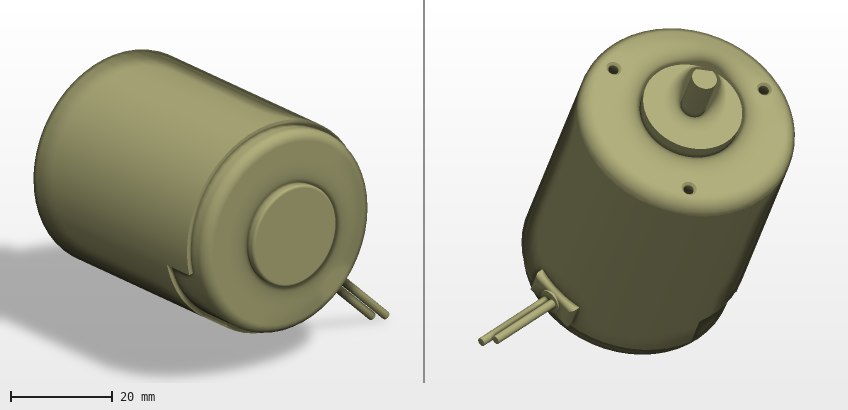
import cadquery as cq
import math


length = 69.6
pilot_front = 10.0
can_front = 13.0
band_front = 56.0
can_rear = 63.0
cap_rear = 67.5

can_radius = 22.0
can_round = 3.0
cap_radius = 21.0
cap_round = 2.0
pilot_radius = 10.0
rear_boss_radius = 10.5
rear_boss_round = 0.55

shaft_radius = 2.5
shaft_flat_height = 1.95

hole_circle_radius = 17.55
hole_radius = 1.05
hole_mouth_radius = 1.5
hole_depth = 3.55
hole_angles = (30, 150, 270)

opening_start_angle = 13.0
opening_end_angle = 56.0

outlet_angle = 43.0
outlet_x = 59.15
grommet_length = 5.6
grommet_width = 10.9
grommet_top = 23.3
grommet_round = 0.85
collar_radius = 2.45
collar_top = 23.65
buried_start = 18.1
wire_radius = 0.87
wire_x_offset = 0.52
wire_side_offset = 0.85
long_wire_end = 41.5
short_wire_end = 39.4


def axial_cylinder(radius, start, end):
    """Cylinder on the shaft axis between two X stations."""
    return cq.Workplane("YZ", origin=(start, 0, 0)).circle(radius).extrude(end - start)


def make_shaft():
    """Round shaft, cut flat along its exposed length."""
    shaft = axial_cylinder(shaft_radius, 0, pilot_front)
    flat = cq.Workplane("XY", origin=(0, 0, shaft_flat_height)).rect(
        2 * pilot_front, 2 * shaft_radius
    ).extrude(shaft_radius)
    return shaft.cut(flat)


def make_body():
    """Can, rear cap and the two end bosses."""
    can = axial_cylinder(can_radius, can_front, can_rear).faces("<X").edges().fillet(can_round)
    cap = axial_cylinder(cap_radius, band_front, cap_rear).faces(">X").edges().fillet(cap_round)
    pilot = axial_cylinder(pilot_radius, pilot_front, can_front)
    rear_boss = axial_cylinder(rear_boss_radius, cap_rear, length)
    rear_boss = rear_boss.faces(">X").edges().fillet(rear_boss_round)
    can = can.cut(make_band_opening())
    return can.union(cap).union(pilot).union(rear_boss)


def make_band_opening():
    """Wedge cut from the rear band; the cap is added back inside it."""
    def point(radius, angle):
        return (-radius * math.cos(math.radians(angle)), -radius * math.sin(math.radians(angle)))

    outer_radius = 1.5 * can_radius
    return (
        cq.Workplane("YZ", origin=(band_front, 0, 0))
        .lineTo(*point(outer_radius, opening_start_angle))
        .lineTo(*point(outer_radius, opening_end_angle))
        .close()
        .extrude(can_rear - band_front)
    )


def make_screw_hole(angle):
    """Blind hole with a 45 degree countersunk mouth."""
    y = hole_circle_radius * math.cos(math.radians(angle))
    z = hole_circle_radius * math.sin(math.radians(angle))
    mouth_depth = hole_mouth_radius - hole_radius
    hole = cq.Workplane("YZ", origin=(can_front, y, z)).circle(hole_radius).extrude(hole_depth)
    mouth = cq.Solid.makeCone(
        hole_mouth_radius, hole_radius, mouth_depth, cq.Vector(can_front, y, z), cq.Vector(1, 0, 0)
    )
    return hole.union(cq.Workplane(mouth))


def make_cable_outlet():
    """Grommet, collar and two wires pointing radially outwards."""
    angle = math.radians(outlet_angle)
    outward = cq.Vector(0, math.cos(angle), -math.sin(angle))
    base = cq.Vector(outlet_x, 0, 0) + outward * buried_start
    plane = cq.Plane(origin=base, xDir=(1, 0, 0), normal=outward)

    grommet = cq.Workplane(plane).rect(grommet_length, grommet_width).extrude(grommet_top - buried_start)
    grommet = grommet.faces(cq.selectors.DirectionMinMaxSelector(outward)).edges().fillet(grommet_round)
    collar = cq.Workplane(plane).circle(collar_radius).extrude(collar_top - buried_start)
    outlet = grommet.union(collar)

    for side, end in ((1, long_wire_end), (-1, short_wire_end)):
        wire = (
            cq.Workplane(plane)
            .center(side * wire_x_offset, -side * wire_side_offset)
            .circle(wire_radius)
            .extrude(end - buried_start)
        )
        outlet = outlet.union(wire)
    return outlet


result = make_body().union(make_shaft()).union(make_cable_outlet())
for hole_angle in hole_angles:
    result = result.cut(make_screw_hole(hole_angle))